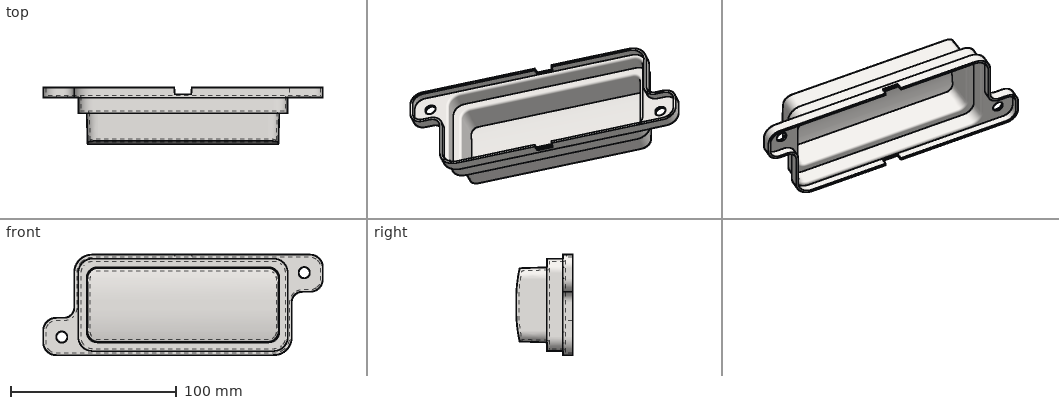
import cadquery as cq

length = 168.7
height = 60.7
depth = 34.2

wall = 1.5

plate_thickness = 6.0
plate_width = 131.2
plate_corner_radius = 11.0
ear_height = 22.6
ear_corner_radius = 8.0
ear_root_radius = 6.0
hole_diameter = 6.5
hole_x = 73.0
hole_z = 19.4

collar_margin = 2.5
collar_thickness = 9.6
collar_width = plate_width - 2 * collar_margin
collar_height = height - 2 * collar_margin
collar_corner_radius = plate_corner_radius - collar_margin

body_width = 116.2
body_height = 45.4
body_corner_radius = 6.7
body_draft = 1.8
crown_flat = 6.5
crown_radius = 84.4

notch_width = 10.5
notch_floor_width = 9.8
notch_depth = 4.0

body_length = depth - plate_thickness - collar_thickness
collar_start = plate_thickness
body_start = plate_thickness + collar_thickness


def layer(distance):
    """XZ sketch plane at a distance in front of the plate back, facing -Y."""
    return cq.Workplane("XZ", origin=(0, -distance, 0))


def make_plate():
    half_length = length / 2
    half_width = plate_width / 2
    half_height = height / 2
    ear_edge = half_height - ear_height
    outline = [
        (-half_length, -half_height),
        (half_width, -half_height),
        (half_width, ear_edge),
        (half_length, ear_edge),
        (half_length, half_height),
        (-half_width, half_height),
        (-half_width, -ear_edge),
        (-half_length, -ear_edge),
    ]
    plate = layer(0).polyline(outline).close().extrude(plate_thickness)

    ear_corners = []
    body_corners = []
    ear_roots = []
    for side in (-1, 1):
        ear_corners += [(side * half_length, side * half_height), (side * half_length, side * ear_edge)]
        body_corners.append((side * half_width, -side * half_height))
        ear_roots.append((side * half_width, side * ear_edge))
    for corners, radius in (
        (ear_corners, ear_corner_radius),
        (body_corners, plate_corner_radius),
        (ear_roots, ear_root_radius),
    ):
        for x, z in corners:
            corner = cq.selectors.NearestToPointSelector((x, -plate_thickness / 2, z))
            plate = plate.edges("|Y").edges(corner).fillet(radius)
    return plate


def make_collar():
    collar = layer(collar_start).rect(collar_width, collar_height).extrude(collar_thickness)
    return collar.edges("|Y").fillet(collar_corner_radius)


def make_crown_envelope():
    """Bar along X whose front is flat in the middle and falls away in tangent arcs."""
    arc_center_y = -depth + crown_radius
    flat_bar = cq.Workplane("XY").box(length, crown_radius, crown_flat)
    bar = flat_bar.translate((0, -depth + crown_radius / 2, 0))
    for side in (-1, 1):
        center = (arc_center_y, side * crown_flat / 2)
        bar = bar.union(
            cq.Workplane("YZ").center(*center).circle(crown_radius).extrude(length / 2, both=True)
        )
    return bar


def make_body():
    base = cq.Sketch().rect(body_width, body_height).vertices().fillet(body_corner_radius)
    body = layer(body_start).placeSketch(base).extrude(body_length, taper=body_draft)
    return body.intersect(make_crown_envelope())


def make_holes():
    centers = [(-hole_x, -hole_z), (hole_x, hole_z)]
    return layer(0).pushPoints(centers).circle(hole_diameter / 2).extrude(plate_thickness)


def make_notch():
    section = [
        (-notch_width / 2, 0),
        (notch_width / 2, 0),
        (notch_floor_width / 2, -notch_depth),
        (-notch_floor_width / 2, -notch_depth),
    ]
    return cq.Workplane("XY").polyline(section).close().extrude(height / 2, both=True)


outer_shape = make_plate().union(make_collar()).union(make_body())
cover = outer_shape.faces(">Y").shell(-wall)
result = cover.cut(make_holes()).cut(make_notch())